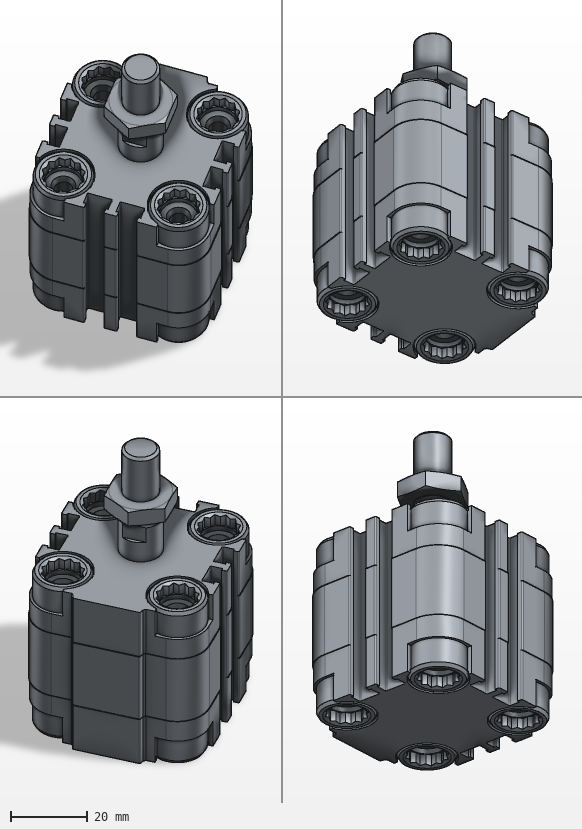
import cadquery as cq
import math

HOUSING_HEIGHT = 49.5
LOWER_STEP_Z = 14.6
UPPER_STEP_Z = 35.1
TOTAL_HEIGHT = 82.5

BARREL_HALF = 25.0
CORNER_RADIUS = 9.0
CAP_INSET = 0.2
SCREW_OFFSET = BARREL_HALF - CORNER_RADIUS

RIDGE_Y = 27.0
CAP_RIDGE_INSET = 0.3
RIDGE_CREST_HALF = 9.4
RIDGE_CREST_RADIUS = 0.4
RIDGE_FLANK_HALF = 9.8
RIDGE_FLANK_Y = 25.3
RIDGE_FOOT_HALF = 10.4

SLOT_FLOOR = 19.9
SLOT_LIP = 23.25
SLOT_INNER = 1.1
SLOT_OUTER = 7.95
MOUTH_INNER = 1.8
MOUTH_OUTER = 7.25
SLOT_CORNER_RADIUS = 0.3
LIP_RADIUS = 0.35

BOSS_DIAMETER = 16.0
BOSS_HEIGHT = 8.1
BOSS_RIM_DIAMETER = 14.8
BOSS_RIM_HEIGHT = 1.05
GROOVE_DIAMETER = 16.5
RELIEF_EDGE = 12.9

SOCKET_FLATS = 10.0
SOCKET_POINTS_DEPTH = 3.6
SOCKET_POINT_PITCH = 30
SOCKET_BORE_DIAMETER = 10.1
SOCKET_DEPTH = 5.1
COUNTERSINK_DIAMETER = 12.7
COUNTERSINK_ANGLE = 120.0
HOLE_DIAMETER = 4.92
HOLE_MOUTH_DIAMETER = 6.5
HOLE_MOUTH_DEPTH = 1.6

ROD_DIAMETER = 12.0
ROD_SHOULDER_Z = 60.5
WRENCH_FLATS = 10.0
WRENCH_FLATS_Z = 55.8
THREAD_DIAMETER = 10.0
NECK_DIAMETER = 8.47
THREAD_START_Z = 62.4
THREAD_CHAMFER = (THREAD_DIAMETER - NECK_DIAMETER) / 2

NUT_FLATS = 17.0
NUT_BOTTOM_Z = 63.4
NUT_HEIGHT = 5.0
NUT_FACE_DIAMETER = 16.8
NUT_CORNER_DROP = 0.35
NUT_TURN = 30


def cylinder(diameter, bottom_z, top_z):
    return cq.Workplane("XY").workplane(offset=bottom_z).circle(diameter / 2).extrude(top_z - bottom_z)


def cone(bottom_diameter, top_diameter, bottom_z, top_z):
    """Truncated cone standing on the Z axis."""
    return cq.Workplane(
        cq.Solid.makeCone(
            bottom_diameter / 2, top_diameter / 2, top_z - bottom_z, pnt=cq.Vector(0, 0, bottom_z)
        )
    )


def hexagon_prism(across_flats, bottom_z, top_z):
    """Hexagonal prism with two of its corners on the X axis."""
    across_corners = across_flats / math.cos(math.pi / 6)
    return (
        cq.Workplane("XY").workplane(offset=bottom_z).polygon(6, across_corners).extrude(top_z - bottom_z)
    )


def turned(shape, angle):
    """The shape turned about the Z axis."""
    return shape.rotate((0, 0, 0), (0, 0, 1), angle)




def t_slot_pair():
    """Cutter for the two T-slots of the -Y side."""
    cutter = cq.Workplane("XY")
    for side in (-1, 1):
        channel = (
            cq.Workplane("XY")
            .center(side * (SLOT_INNER + SLOT_OUTER) / 2, -(SLOT_FLOOR + SLOT_LIP) / 2)
            .rect(SLOT_OUTER - SLOT_INNER, SLOT_LIP - SLOT_FLOOR)
            .extrude(HOUSING_HEIGHT)
            .edges("|Z and >Y")
            .fillet(SLOT_CORNER_RADIUS)
        )
        mouth = (
            cq.Workplane("XY")
            .center(side * (MOUTH_INNER + MOUTH_OUTER) / 2, -(SLOT_FLOOR + RIDGE_Y) / 2)
            .rect(MOUTH_OUTER - MOUTH_INNER, RIDGE_Y - SLOT_FLOOR)
            .extrude(HOUSING_HEIGHT)
        )
        cutter = cutter.union(channel.union(mouth))
    return cutter


def round_slot_lips(section, half):
    """Round the outer edges of the slot mouths on the -X, +X and -Y sides."""
    middle_z = section.val().BoundingBox().center.z
    for across in (-MOUTH_OUTER, -MOUTH_INNER, MOUTH_INNER, MOUTH_OUTER):
        for point in ((-half, across, middle_z), (half, across, middle_z), (across, -half, middle_z)):
            section = section.edges(cq.NearestToPointSelector(point)).fillet(LIP_RADIUS)
    return section


def housing_section(inset, ridge_inset, bottom_z, top_z):
    """Length of slotted profile; the insets set its flat sides and its ridge inside the barrel's."""
    half = BARREL_HALF - inset
    ridge_y = RIDGE_Y - ridge_inset
    height = top_z - bottom_z
    square = (
        cq.Workplane("XY")
        .workplane(offset=bottom_z)
        .rect(2 * half, 2 * half)
        .extrude(height)
        .edges("|Z")
        .fillet(CORNER_RADIUS - inset)
    )
    right_flank = [
        (RIDGE_FOOT_HALF, 0),
        (RIDGE_FOOT_HALF, half),
        (RIDGE_FLANK_HALF, RIDGE_FLANK_Y),
        (RIDGE_CREST_HALF, ridge_y),
    ]
    left_flank = [(-x, y) for x, y in reversed(right_flank)]
    ridge = (
        cq.Workplane("XY")
        .workplane(offset=bottom_z)
        .polyline(right_flank + left_flank)
        .close()
        .extrude(height)
        .edges("|Z and >Y")
        .fillet(RIDGE_CREST_RADIUS)
    )
    section = square.union(ridge)
    for angle in (-90, 0, 90):
        section = section.cut(turned(t_slot_pair(), angle))
    return round_slot_lips(section, half)


def boss_relief():
    """Cutter that frees the round boss of the (-X, -Y) corner at the bottom end."""
    size = BARREL_HALF
    corner = (
        cq.Workplane("XY")
        .box(size, size, BOSS_HEIGHT, centered=False)
        .translate((-RELIEF_EDGE - size, -RELIEF_EDGE - size, 0))
    )
    groove = cylinder(GROOVE_DIAMETER, 0, BOSS_RIM_HEIGHT)
    boss = cone(BOSS_RIM_DIAMETER, BOSS_DIAMETER, 0, BOSS_RIM_HEIGHT).union(
        cylinder(BOSS_DIAMETER, BOSS_RIM_HEIGHT, BOSS_HEIGHT)
    )
    to_corner = (-SCREW_OFFSET, -SCREW_OFFSET, 0)
    return corner.union(groove.translate(to_corner)).cut(boss.translate(to_corner))


def screw_socket():
    """Cutter for the twelve-point socket and half of the through hole of the same corner."""
    countersink_depth = COUNTERSINK_DIAMETER / 2 / math.tan(math.radians(COUNTERSINK_ANGLE / 2))
    points = hexagon_prism(SOCKET_FLATS, 0, SOCKET_POINTS_DEPTH)
    return (
        cone(COUNTERSINK_DIAMETER, 0, 0, countersink_depth)
        .union(points)
        .union(turned(points, SOCKET_POINT_PITCH))
        .union(cylinder(SOCKET_BORE_DIAMETER, 0, SOCKET_DEPTH))
        .union(cone(HOLE_MOUTH_DIAMETER, HOLE_DIAMETER, SOCKET_DEPTH, SOCKET_DEPTH + HOLE_MOUTH_DEPTH))
        .union(cylinder(HOLE_DIAMETER, 0, HOUSING_HEIGHT / 2))
        .translate((-SCREW_OFFSET, -SCREW_OFFSET, 0))
    )


def make_housing():
    body = (
        housing_section(CAP_INSET, CAP_RIDGE_INSET, 0, LOWER_STEP_Z)
        .union(housing_section(0, 0, LOWER_STEP_Z, UPPER_STEP_Z))
        .union(housing_section(CAP_INSET, CAP_RIDGE_INSET, UPPER_STEP_Z, HOUSING_HEIGHT))
    )
    for lower_cutter in (boss_relief(), screw_socket()):
        upper_cutter = lower_cutter.mirror("XY", (0, 0, HOUSING_HEIGHT / 2))
        for angle in (0, 90, 180, 270):
            body = body.cut(turned(lower_cutter, angle)).cut(turned(upper_cutter, angle))
    return body




def make_piston_rod():
    """Rod with two wrench flats, a neck and a stud for the nut, standing on the housing."""
    flats = (
        cq.Workplane("XY")
        .workplane(offset=WRENCH_FLATS_Z)
        .rect(ROD_DIAMETER, WRENCH_FLATS)
        .extrude(ROD_SHOULDER_Z - WRENCH_FLATS_Z)
    )
    shank = cylinder(ROD_DIAMETER, HOUSING_HEIGHT, WRENCH_FLATS_Z)
    flatted = cylinder(ROD_DIAMETER, WRENCH_FLATS_Z, ROD_SHOULDER_Z).intersect(flats)
    neck = cylinder(NECK_DIAMETER, ROD_SHOULDER_Z, THREAD_START_Z)
    stud = cylinder(THREAD_DIAMETER, THREAD_START_Z, TOTAL_HEIGHT).faces("<Z or >Z").chamfer(THREAD_CHAMFER)
    return shank.union(flatted).union(neck).union(stud)




def make_lock_nut():
    """Hexagon nut with corners on the Y axis, bevelled on both faces."""
    top_z = NUT_BOTTOM_Z + NUT_HEIGHT
    corner_diameter = NUT_FLATS / math.cos(math.pi / 6)
    bevel_envelope = (
        cone(NUT_FACE_DIAMETER, corner_diameter, NUT_BOTTOM_Z, NUT_BOTTOM_Z + NUT_CORNER_DROP)
        .union(cylinder(corner_diameter, NUT_BOTTOM_Z + NUT_CORNER_DROP, top_z - NUT_CORNER_DROP))
        .union(cone(corner_diameter, NUT_FACE_DIAMETER, top_z - NUT_CORNER_DROP, top_z))
    )
    hexagon = turned(hexagon_prism(NUT_FLATS, NUT_BOTTOM_Z, top_z), NUT_TURN)
    return hexagon.intersect(bevel_envelope).cut(cylinder(THREAD_DIAMETER, NUT_BOTTOM_Z, top_z))


housing = make_housing()
piston_rod = make_piston_rod()
lock_nut = make_lock_nut()

result = cq.Compound.makeCompound([housing.val(), piston_rod.val(), lock_nut.val()])